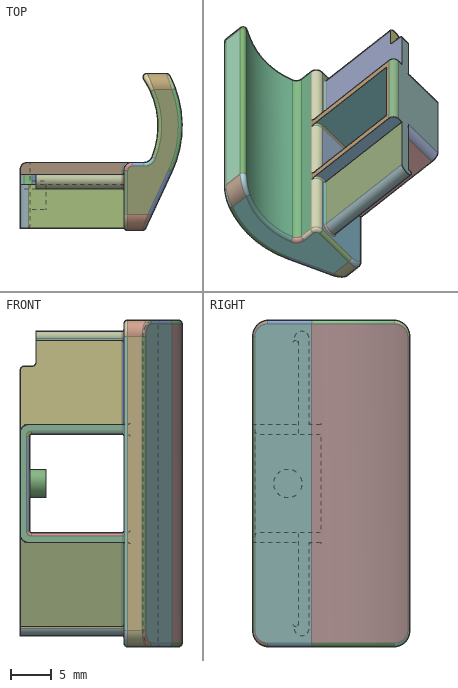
import cadquery as cq
import math

height = 40.35
depth = 19.4
width = 20.0
grip_face_x = 12.8
shoulder_y = 8.43
arc_center_y = 12.9
hook_thickness = 3.02
outer_radius = 13.3
inner_radius = outer_radius - hook_thickness
slant_angle = 25.0
shoulder_radius = 1.0
corner_radius = 2.0
rim_radius = 0.5

plate_back_y = 6.95
plate_front_y = 5.7
lip_front_y = 5.15
plate_margin = 1.37
lip_straight = 0.3
notch_width = 1.95
notch_floor_z = 34.65
notch_radius = 0.5

frame_front_y = 0.3
frame_setback = 0.02
frame_back_y = shoulder_y - frame_setback
frame_height = 14.5
wall = 1.2
frame_corner_radius = 1.0
frame_back_radius = 0.85
opening_corner_radius = 0.2
mouth_radius = 0.45
root_radius = 0.2

pin_diameter = 3.5
pin_length = 1.98

mid_z = height / 2
embed_x = grip_face_x + shoulder_radius
tolerance = 0.005


def arc_point(radius, angle):
    """Point on an arc about the grip's centre, with the angle in degrees from +X."""
    center_x = width - outer_radius
    a = math.radians(angle)
    return (center_x + radius * math.cos(a), arc_center_y + radius * math.sin(a))


def angle_at(radius, y):
    """Angle from +X, in degrees, at which an arc about the grip's centre reaches y."""
    return math.degrees(math.asin((y - arc_center_y) / radius))


def make_grip():
    slant_top = arc_point(outer_radius, -slant_angle)
    slant_foot_x = slant_top[0] - slant_top[1] * math.tan(math.radians(slant_angle))
    tip_outer = arc_point(outer_radius, angle_at(outer_radius, depth))
    tip_inner = arc_point(inner_radius, angle_at(inner_radius, depth))
    shoulder = arc_point(inner_radius, angle_at(inner_radius, shoulder_y))
    body = (
        cq.Workplane("XY")
        .moveTo(grip_face_x, 0)
        .lineTo(slant_foot_x, 0)
        .lineTo(*slant_top)
        .threePointArc(arc_point(outer_radius, 0), tip_outer)
        .lineTo(*tip_inner)
        .threePointArc(arc_point(inner_radius, 0), shoulder)
        .lineTo(grip_face_x, shoulder_y)
        .close()
        .extrude(height)
    )
    for x in (grip_face_x, shoulder[0]):
        near = cq.selectors.BoxSelector(
            (x - tolerance, shoulder_y - tolerance, 0), (x + tolerance, shoulder_y + tolerance, height)
        )
        body = body.edges("|Z").edges(near).fillet(shoulder_radius)
    outline = (
        cq.Workplane("YZ")
        .center(depth / 2, mid_z)
        .rect(depth, height)
        .extrude(width)
        .edges("|X")
        .fillet(corner_radius)
    )
    body = body.intersect(outline)
    return body.newObject([e for e in body.edges().vals() if is_rim(e)]).fillet(rim_radius)


def is_rim(edge):
    """True for the sharp edges around the grip, false for seams between tangent faces."""
    box = edge.BoundingBox()
    on_end = box.zmax < tolerance or box.zmin > height - tolerance
    on_side = box.ymax < tolerance or box.ymin > depth - tolerance
    along_x = box.ylen + box.zlen < tolerance
    along_z = box.xlen + box.ylen < tolerance
    if along_z:
        return on_side
    if along_x:
        return on_end and abs(box.ymin - shoulder_y) < tolerance
    return True


def make_plate():
    half = mid_z - plate_margin
    lip_radius = (plate_back_y - lip_front_y) / 2
    lip_mid_y = plate_back_y - lip_radius
    tangent_z = half - lip_radius
    lip_z = tangent_z - lip_straight
    plate = (
        cq.Workplane("YZ", origin=(0, 0, mid_z))
        .moveTo(plate_back_y, -tangent_z)
        .lineTo(plate_back_y, tangent_z)
        .threePointArc((lip_mid_y, half), (lip_front_y, tangent_z))
        .lineTo(lip_front_y, lip_z)
        .lineTo(plate_front_y, lip_z)
        .lineTo(plate_front_y, -lip_z)
        .lineTo(lip_front_y, -lip_z)
        .lineTo(lip_front_y, -tangent_z)
        .threePointArc((lip_mid_y, -half), (plate_back_y, -tangent_z))
        .close()
        .extrude(embed_x)
    )
    notch = cq.Workplane("XY").box(notch_width, depth, height, centered=False)
    plate = plate.cut(notch.translate((0, 0, notch_floor_z)))
    for x in (0, notch_width):
        corner = cq.selectors.BoxSelector(
            (x - tolerance, 0, notch_floor_z - tolerance),
            (x + tolerance, depth, notch_floor_z + tolerance),
        )
        plate = plate.edges("|Y").edges(corner).fillet(notch_radius)
    return plate


def block(x_range, y_range, z_size):
    """Box given by its X and Y ranges, centred on the mid height."""
    size_x = x_range[1] - x_range[0]
    size_y = y_range[1] - y_range[0]
    box = cq.Workplane("XY").box(size_x, size_y, z_size, centered=(False, False, True))
    return box.translate((x_range[0], y_range[0], mid_z))


def make_frame():
    front = block((0, embed_x), (frame_front_y, plate_front_y), frame_height)
    front = front.edges("|Y and <X").fillet(frame_corner_radius)
    back = block((0, embed_x), (plate_front_y, frame_back_y), frame_height)
    return front.union(back.edges("|Z and <X and >Y").fillet(frame_back_radius))


def make_opening():
    """Through opening from the end wall to the grip, with rounded corners at the end wall."""
    opening = block((wall, embed_x), (frame_front_y, frame_back_y), frame_height - 2 * wall)
    return opening.edges("|Y and <X").fillet(opening_corner_radius)


def round_opening_mouth(frame):
    """Round the front edge of the opening along its three walls."""
    reach = frame_height / 2 - wall + tolerance
    mouth = cq.selectors.BoxSelector(
        (wall - tolerance, frame_front_y - tolerance, mid_z - reach),
        (embed_x + tolerance, frame_front_y + tolerance, mid_z + reach),
        boundingbox=True,
    )
    return frame.edges(mouth).fillet(mouth_radius)


def make_pin():
    pin_y = (frame_front_y + frame_back_y) / 2
    pin = cq.Workplane("YZ", origin=(wall / 2, pin_y, mid_z)).circle(pin_diameter / 2)
    return pin.extrude(wall / 2 + pin_length)


def root_zone(y_min, z_min, z_max):
    """Selector for the edges where the plate and frame enter the grip, between two heights."""
    return cq.selectors.BoxSelector(
        (grip_face_x - tolerance, y_min - tolerance, z_min - tolerance),
        (embed_x + tolerance, frame_back_y + tolerance, z_max + tolerance),
        boundingbox=True,
    )


def round_roots(part):
    """Blend the plate, the back of the frame and the opening into the grip."""
    frame_top = mid_z + frame_height / 2
    frame_bottom = mid_z - frame_height / 2
    upper = root_zone(lip_front_y, frame_top, height - plate_margin)
    lower = root_zone(lip_front_y, plate_margin, frame_bottom)
    opening = root_zone(frame_front_y + mouth_radius, frame_bottom + wall, frame_top - wall)
    part = part.edges(upper + lower).fillet(root_radius)
    return part.edges(opening).edges("not |Z").fillet(root_radius)


clip = make_plate().union(make_frame()).cut(make_opening())
clip = round_opening_mouth(clip)
result = round_roots(make_grip().union(clip)).union(make_pin())